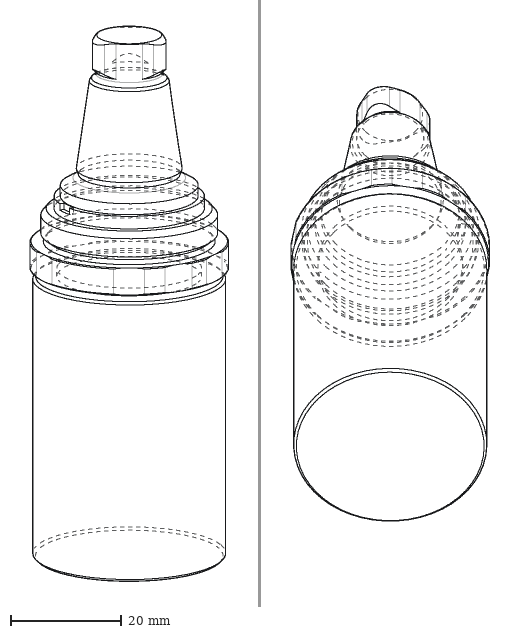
import cadquery as cq
import math

total_height = 98.0
body_radius = 35.0 / 2
body_top = 52.6
body_chamfer = 0.5
lower_neck_radius = 13.1

nut_across_flats = 35.6
nut_bottom = 54.1
nut_top = 59.2
nut_chamfer = 0.2
flat_half_angle = 9.0
flat_angles = [0, 30, 90, 150, 180, 210, 270, 330]

groove_top_radius = 15.6
groove_radius = 15.0
groove_floor = 60.0
collar_radius = 32.0 / 2
collar_bottom = 60.8
collar_edge = 64.2
collar_top_radius = 30.1 / 2
collar_top = 65.4

step_radius = 27.2 / 2
step_top = 67.7
hub_radius = 25.0 / 2
hub_edge = 69.8
hub_cone_top_radius = 10.2
hub_cone_top = 71.1

notch_width = 3.4
notch_depth = 1.2
notch_inner_distance = 12.6

taper_root_radius = 9.2
taper_root = 71.8
taper_bottom_radius = 9.6
taper_bottom = 72.9
taper_top_radius = 7.3
taper_top = 89.4
shoulder_height = 90.0
tip_neck_radius = 6.1
neck_fillet = 0.8

lobe_angles = [30, 150, 270]
lobe_radius = 3.0
lobe_reach = 7.3
tip_bottom = 91.2
tip_bevel_drop = 0.7
tip_face_radius = 5.9


def revolve(outline):
    """Turn a closed (radius, height) outline about Z."""
    return outline.close().revolve(360, (0, 0), (0, 1))


def make_turned_body():
    fillet_center_radius = tip_neck_radius + neck_fillet
    fillet_center_height = shoulder_height + neck_fillet
    fillet_offset = neck_fillet * math.sin(math.radians(45))
    outline = cq.Workplane("XZ").polyline([
        (0, 0),
        (body_radius - body_chamfer, 0),
        (body_radius, body_chamfer),
        (body_radius, body_top - body_chamfer),
        (body_radius - body_chamfer, body_top),
        (lower_neck_radius, body_top),
        (lower_neck_radius, nut_top),
        (groove_top_radius, nut_top),
        (groove_radius, groove_floor),
        (collar_radius, collar_bottom),
        (collar_radius, collar_edge),
        (collar_top_radius, collar_top),
        (step_radius, collar_top),
        (step_radius, step_top),
        (hub_radius, step_top),
        (hub_radius, hub_edge),
        (hub_cone_top_radius, hub_cone_top),
        (taper_root_radius, taper_root),
        (taper_bottom_radius, taper_bottom),
        (taper_top_radius, taper_top),
        (fillet_center_radius, shoulder_height),
    ])
    outline = outline.threePointArc(
        (fillet_center_radius - fillet_offset, fillet_center_height - fillet_offset),
        (tip_neck_radius, fillet_center_height),
    )
    return revolve(outline.lineTo(tip_neck_radius, tip_bottom).lineTo(0, tip_bottom))


def make_nut():
    flat_distance = nut_across_flats / 2
    nut_radius = flat_distance / math.cos(math.radians(flat_half_angle))
    height = nut_top - nut_bottom
    nut = cq.Workplane("XY").workplane(offset=nut_bottom).circle(nut_radius).extrude(height)
    nut = nut.faces("<Z or >Z").chamfer(nut_chamfer)
    cutter = cq.Workplane("XY").box(nut_radius, nut_radius, height, centered=(False, True, False))
    cutter = cutter.translate((flat_distance, 0, nut_bottom))
    for angle in flat_angles:
        nut = nut.cut(cutter.rotate((0, 0, 0), (0, 0, 1), angle))
    return nut


def make_tip():
    """Round core with three rounded lobes, bevelled above and below."""
    height = total_height - tip_bottom
    base = cq.Workplane("XY").workplane(offset=tip_bottom)
    tip = base.circle(tip_neck_radius).extrude(height)

    nose_center = lobe_reach - lobe_radius
    tangent_offset = lobe_radius * math.sin(math.radians(45))
    flank_foot = nose_center / 2 + tangent_offset
    nose_x = nose_center + tangent_offset
    lobe = (
        base.moveTo(0, 0)
        .lineTo(flank_foot, -flank_foot)
        .lineTo(nose_x, -tangent_offset)
        .threePointArc((lobe_reach, 0), (nose_x, tangent_offset))
        .lineTo(flank_foot, flank_foot)
        .close()
        .extrude(height)
    )
    for angle in lobe_angles:
        tip = tip.union(lobe.rotate((0, 0, 0), (0, 0, 1), angle))

    bevel_top = tip_bottom + lobe_reach - tip_neck_radius
    envelope = cq.Workplane("XZ").polyline([
        (0, tip_bottom),
        (tip_neck_radius, tip_bottom),
        (lobe_reach, bevel_top),
        (lobe_reach, total_height - tip_bevel_drop),
        (tip_face_radius, total_height),
        (0, total_height),
    ])
    return tip.intersect(revolve(envelope))


def make_notch():
    """Cutter for the notch, which leaves a thin wall in front of the hub."""
    cutter = cq.Workplane("XY").box(notch_width, step_radius, notch_depth)
    middle = notch_inner_distance + step_radius / 2
    return cutter.translate((0, -middle, step_top - notch_depth / 2))


result = make_turned_body().cut(make_notch()).union(make_nut()).union(make_tip())